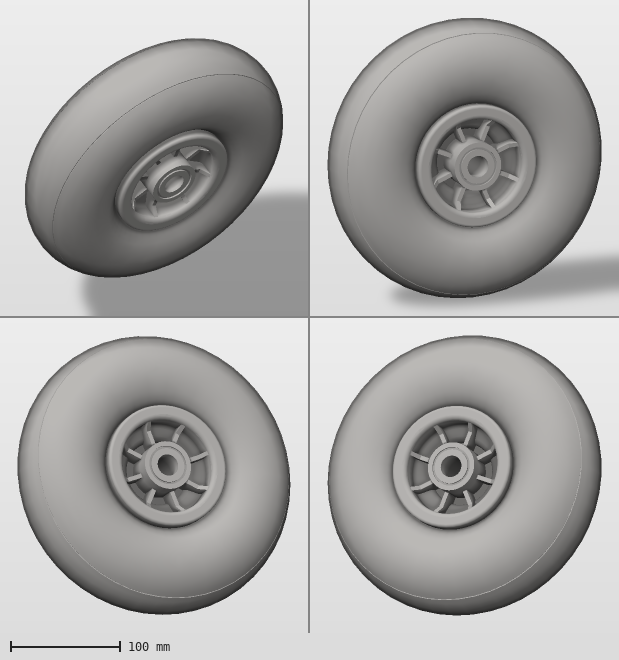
import cadquery as cq
import math

tyre_radius = 130.0
tyre_half_width = 85.0 / 2
sidewall_arc_radius = 40.0

seam_radius = 244.5 / 2
seam_offset = 25.0
seam_width = 0.8
seam_depth = 0.5

rim_radius = 114.0 / 2
rim_half_width = 37.0
rim_outer_fillet = 2.5
lip_fillet = 4.5

dish_wall_radius = 43.7
dish_corner_fillet = 4.2
web_half_thickness = 5.2
web_radius = 29.0
web_edge_fillet = 7.3
cone_slope = math.radians(20.5)

hub_radius = 45.0 / 2
hub_half_width = 36.5
bore_radius = 20.0 / 2
groove_inner_radius = 32.0 / 2
groove_outer_radius = 36.0 / 2
groove_depth = 1.5

rib_count = 8
rib_thickness = 4.0
rib_half_width = 24.0
rib_kink_radius = 37.0
rib_overlap = 1.3


def revolve(profile):
    """Close a profile of (axial X, radial Y) points and turn it about the X axis."""
    return profile.close().revolve(360, (0, 0, 0), (1, 0, 0))


def point_on_arc(axial, radial, radius, angle):
    """Point on an arc about (axial, radial), with the angle measured from +X towards +Y."""
    return (axial + radius * math.cos(angle), radial + radius * math.sin(angle))


def disc(radius, half_width):
    """Cylinder on the X axis, centred on the middle plane of the wheel."""
    return cq.Workplane("YZ").circle(radius).extrude(half_width, both=True)


def ring(inner_radius, outer_radius, start, width):
    """Ring about the X axis that starts at the given X and grows towards +X."""
    plane = cq.Workplane("YZ", origin=(start, 0, 0))
    return plane.circle(outer_radius).circle(inner_radius).extrude(width)


def cut_both_sides(body, cutter):
    """Remove a +X side cutter and its mirror image on the -X side."""
    return body.cut(cutter).cut(cutter.mirror("YZ"))


def make_tyre():
    """Solid tyre; the sidewall arcs run from the seams to the rim's outer surface."""
    arc_axial = tyre_half_width - sidewall_arc_radius
    arc_radial = seam_radius - math.sqrt(sidewall_arc_radius**2 - (seam_offset - arc_axial) ** 2)
    bead_offset = arc_axial + math.sqrt(sidewall_arc_radius**2 - (arc_radial - rim_radius) ** 2)
    profile = (
        cq.Workplane("XY")
        .moveTo(-bead_offset, 0)
        .lineTo(-bead_offset, rim_radius)
        .threePointArc((-tyre_half_width, arc_radial), (-seam_offset, seam_radius))
        .threePointArc((0, tyre_radius), (seam_offset, seam_radius))
        .threePointArc((tyre_half_width, arc_radial), (bead_offset, rim_radius))
        .lineTo(bead_offset, 0)
    )
    return revolve(profile)


def make_rim():
    """Solid rim with rounded outer edges."""
    return disc(rim_radius, rim_half_width).faces("<X or >X").edges().fillet(rim_outer_fillet)


def make_dish():
    """Cavity on the +X side: flat web, rounded edge, cone, rounded corner, wall and lip."""
    middle_slope = (math.pi / 2 + cone_slope) / 2

    edge = (web_half_thickness, web_radius + web_edge_fillet, web_edge_fillet)
    edge_middle = point_on_arc(*edge, -middle_slope)
    cone_start = point_on_arc(*edge, -cone_slope)

    corner_radial = dish_wall_radius - dish_corner_fillet
    cone_end_radial = corner_radial + dish_corner_fillet * math.sin(cone_slope)
    cone_end_axial = cone_start[0] + (cone_end_radial - cone_start[1]) * math.tan(cone_slope)
    corner_axial = cone_end_axial + dish_corner_fillet * math.cos(cone_slope)
    corner_middle = point_on_arc(
        corner_axial, corner_radial, dish_corner_fillet, math.pi - middle_slope
    )

    lip_axial = rim_half_width - lip_fillet
    lip_radial = dish_wall_radius + lip_fillet
    lip_middle = point_on_arc(lip_axial, lip_radial, lip_fillet, -math.pi / 4)

    profile = (
        cq.Workplane("XY")
        .moveTo(web_half_thickness, 0)
        .lineTo(web_half_thickness, web_radius)
        .threePointArc(edge_middle, cone_start)
        .lineTo(cone_end_axial, cone_end_radial)
        .threePointArc(corner_middle, (corner_axial, dish_wall_radius))
        .lineTo(lip_axial, dish_wall_radius)
        .threePointArc(lip_middle, (rim_half_width, lip_radial))
        .lineTo(rim_half_width, 0)
    )
    return revolve(profile)


def make_ribs():
    """Radial plates from hub to rim, flaring from the kink up to the start of the lip."""
    lip_axial = rim_half_width - lip_fillet
    inner_radius = hub_radius - rib_overlap
    outer_radius = dish_wall_radius + rib_overlap
    outline = [
        (-rib_half_width, inner_radius),
        (rib_half_width, inner_radius),
        (rib_half_width, rib_kink_radius),
        (lip_axial, dish_wall_radius),
        (lip_axial, outer_radius),
        (-lip_axial, outer_radius),
        (-lip_axial, dish_wall_radius),
        (-rib_half_width, rib_kink_radius),
    ]
    plate = cq.Workplane("XY").polyline(outline).close().extrude(rib_thickness / 2, both=True)
    ribs = cq.Workplane("XY")
    for index in range(rib_count):
        angle = (index + 0.5) * 360 / rib_count
        ribs = ribs.add(plate.rotate((0, 0, 0), (1, 0, 0), angle))
    return ribs.combine()


seam = ring(seam_radius - seam_depth, tyre_radius, seam_offset - seam_width / 2, seam_width)
hub_groove = ring(
    groove_inner_radius, groove_outer_radius, hub_half_width - groove_depth, groove_depth
)

wheel = make_tyre().union(make_rim())
wheel = cut_both_sides(wheel, seam)
wheel = cut_both_sides(wheel, make_dish())
wheel = wheel.union(make_ribs())
wheel = wheel.union(disc(hub_radius, hub_half_width))
wheel = cut_both_sides(wheel, hub_groove)
result = wheel.cut(disc(bore_radius, hub_half_width))